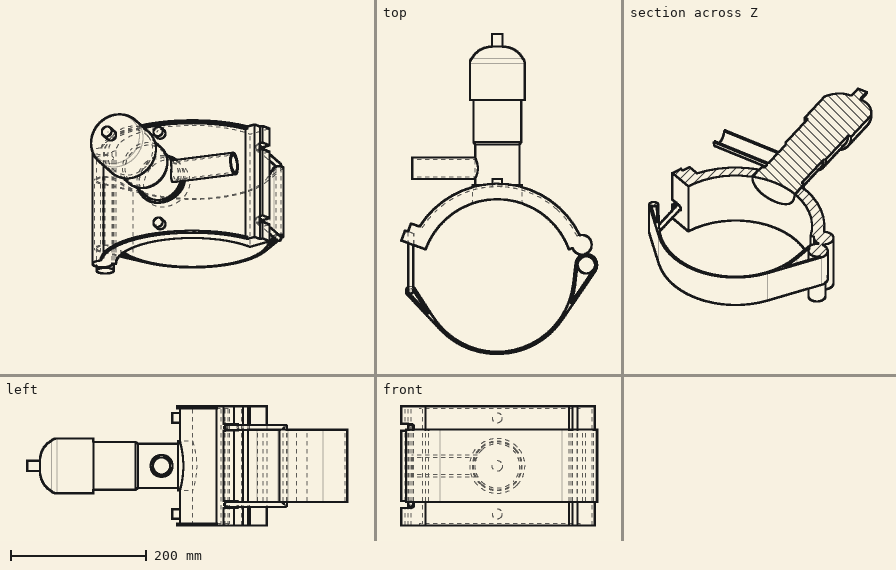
import cadquery as cq
import math


height = 176.0
bore_radius = 112.5
saddle_radius = 135.5
recess_radius = 131.5
lip_height = 3.5
end_angle = 20.0
pad_outer_radius = 150.5
pad_step_radius = 146.0
pad_step_rise = 16.0
pad_rise = 29.0
pad_root_radius = (bore_radius + recess_radius) / 2
knob_radius = 14.5
knob_distance = 132.5
stud_diameter = 14.5
stud_root = (bore_radius + saddle_radius) / 2
stud_top = 142.5
stud_offset = 71.0

strap_thickness = 3.4
strap_outer_radius = bore_radius + strap_thickness
strap_height = 106.8
hinge_pin_radius = 12.8
hinge_centre = (131.5, 15.5)

wire_radius = 4.0
wire_centre = (-127.5, -23.0)
wire_embed = 0.25
wire_z = strap_height / 2 + wire_radius - wire_embed
wire_top = 66.0
notch_radius = 4.95

neck_radius = 65.5 / 2
barrel_radius = 71.0 / 2
flange_radius = 73.0 / 2
cap_radius = 81.2 / 2
tip_radius = 15.5 / 2
flange_top = 133.5
barrel_start = 193.0
barrel_bottom = 197.0
cap_bottom = 259.0
cap_top = 312.5
dome_edge = (38.0, 320.5)
dome_middle = (25.5, 333.0)
dome_top = 337.7
overall_length = 472.5
tip_top = overall_length - strap_outer_radius
shoulder_middle = (39.9, 317.0)

outlet_radius = 32.0 / 2
outlet_bore_radius = 25.5 / 2
outlet_y = 158.2
outlet_end_x = -125.5


def polar(radius, angle):
    return radius * math.cos(math.radians(angle)), radius * math.sin(math.radians(angle))


def upright_prism(outline, prism_height):
    """Extrude a closed XY outline symmetrically about Z = 0."""
    return outline.extrude(prism_height / 2, both=True)


def upright_cylinder(centre, radius, cylinder_height):
    return upright_prism(cq.Workplane("XY").center(*centre).circle(radius), cylinder_height)


def arc_band(inner, outer, start, end, band_height):
    """Part of a ring between two angles, counter-clockwise from start to end."""
    middle = (start + end) / 2
    outline = (
        cq.Workplane("XY")
        .moveTo(*polar(inner, start))
        .lineTo(*polar(outer, start))
        .threePointArc(polar(outer, middle), polar(outer, end))
        .lineTo(*polar(inner, end))
        .threePointArc(polar(inner, middle), polar(inner, start))
        .close()
    )
    return upright_prism(outline, band_height)


def make_notch(z):
    """Round-ended slot around the hook rod, open to the left and running along Y."""
    length = pad_outer_radius
    slot = (
        cq.Workplane("XZ", origin=(wire_centre[0], 0, z))
        .center(-length / 2, 0)
        .rect(length, 2 * notch_radius)
        .extrude(-saddle_radius)
    )
    round_end = cq.Workplane("XZ", origin=(wire_centre[0], 0, z)).circle(notch_radius).extrude(-saddle_radius)
    return slot.union(round_end)


def make_pad():
    """Stepped block on the left end of the saddle, square to its radial end face."""
    corners = [
        (bore_radius, 0),
        (pad_outer_radius, 0),
        (pad_outer_radius, pad_step_rise),
        (pad_step_radius, pad_step_rise),
        (pad_step_radius, pad_rise),
        (pad_root_radius, pad_rise),
    ]
    end_face_plane = cq.Plane(origin=(0, 0, 0), xDir=(*polar(1, 180 - end_angle), 0), normal=(0, 0, -1))
    pad = upright_prism(cq.Workplane(end_face_plane).polyline(corners).close(), height)
    below_ceiling = (
        cq.Workplane(end_face_plane)
        .center(pad_outer_radius, 0)
        .rect(2 * pad_outer_radius, 2 * pad_step_rise)
        .extrude(height, both=True)
    )
    for z in (-wire_z, wire_z):
        pad = pad.cut(make_notch(z).intersect(below_ceiling))
    return pad


def make_saddle():
    saddle = arc_band(bore_radius, saddle_radius, end_angle, 180 - end_angle, height)
    recess = arc_band(recess_radius, pad_outer_radius, 0, 180, height - 2 * lip_height)
    saddle = saddle.cut(recess)
    knob = upright_cylinder(polar(knob_distance, end_angle), knob_radius, height)
    saddle = saddle.union(knob)
    for z in (-stud_offset, stud_offset):
        stud = (
            cq.Workplane("XZ", origin=(0, stud_root, z))
            .circle(stud_diameter / 2)
            .extrude(-(stud_top - stud_root))
        )
        saddle = saddle.union(stud)
    return saddle.union(make_pad())


def strand_normals(loop_centre, loop_radius, side):
    """Angles of the outer and inner tangent strands; side is 1 on the right and -1 on the left."""
    distance = math.hypot(*loop_centre)
    direction = math.degrees(math.atan2(loop_centre[1], loop_centre[0]))
    outer = math.degrees(math.acos((strap_outer_radius - loop_radius) / distance))
    inner = math.degrees(math.acos((bore_radius + loop_radius) / distance))
    return direction - side * outer, direction - side * inner


def make_strand(loop_centre, loop_offset, angle):
    """Straight strip tangent to the strap arc, running to its tangent point on the loop."""
    loop_x, loop_y = polar(loop_offset, angle)
    loop_end = (loop_centre[0] + loop_x, loop_centre[1] + loop_y)
    wall_x, wall_y = polar(strap_thickness, angle)
    outline = cq.Workplane("XY").polyline(
        [
            polar(bore_radius, angle),
            polar(strap_outer_radius, angle),
            (loop_end[0] + wall_x, loop_end[1] + wall_y),
            loop_end,
        ]
    ).close()
    return upright_prism(outline, strap_height)


def make_loop(centre, core_radius, side):
    """Strap end wrapped around a core: two strands and the arc that joins them."""
    loop_radius = core_radius + strap_thickness
    outer_angle, inner_angle = strand_normals(centre, loop_radius, side)
    outer_strand = make_strand(centre, core_radius, outer_angle)
    inner_strand = make_strand(centre, -loop_radius, inner_angle)
    angles = (outer_angle, inner_angle + side * 180)
    wrap = arc_band(core_radius, loop_radius, min(angles), max(angles), strap_height)
    return outer_strand.union(inner_strand).union(wrap.translate((*centre, 0)))


def make_strap():
    left_angle = strand_normals(wire_centre, wire_radius + strap_thickness, -1)[1]
    right_angle = strand_normals(hinge_centre, hinge_pin_radius + strap_thickness, 1)[1]
    strap = arc_band(bore_radius, strap_outer_radius, left_angle, right_angle, strap_height)
    strap = strap.union(make_loop(wire_centre, wire_radius, -1))
    strap = strap.union(make_loop(hinge_centre, hinge_pin_radius, 1))
    return strap.union(upright_cylinder(hinge_centre, hinge_pin_radius, height))


def make_wire_bail():
    """Upright wire inside the strap loop with a rounded corner and a hook rod at each end."""
    bail = upright_cylinder(wire_centre, wire_radius, 2 * wire_z)
    for z in (-wire_z, wire_z):
        rod = (
            cq.Workplane("XZ", origin=(wire_centre[0], wire_centre[1], z))
            .circle(wire_radius)
            .extrude(-(wire_top - wire_centre[1]))
        )
        corner = cq.Workplane("XY").sphere(wire_radius).translate((*wire_centre, z))
        bail = bail.union(rod).union(corner)
    return bail


def make_valve():
    valve = (
        cq.Workplane("XY")
        .lineTo(neck_radius, 0)
        .lineTo(neck_radius, barrel_start)
        .lineTo(barrel_radius, barrel_bottom)
        .lineTo(barrel_radius, cap_bottom)
        .lineTo(cap_radius, cap_bottom)
        .lineTo(cap_radius, cap_top)
        .threePointArc(shoulder_middle, dome_edge)
        .threePointArc(dome_middle, (tip_radius, dome_top))
        .lineTo(tip_radius, tip_top)
        .lineTo(0, tip_top)
        .close()
        .revolve(360, (0, 0), (0, 1))
    )
    flange = cq.Workplane("XZ").circle(flange_radius).extrude(-flange_top)
    valve = valve.union(flange).cut(upright_cylinder((0, 0), bore_radius, height))
    outlet_plane = cq.Plane(origin=(outlet_end_x, outlet_y, 0), xDir=(0, 1, 0), normal=(1, 0, 0))
    outlet = cq.Workplane(outlet_plane).circle(outlet_radius).extrude(-outlet_end_x)
    bore_depth = -outlet_end_x - neck_radius
    outlet_bore = cq.Workplane(outlet_plane).circle(outlet_bore_radius).extrude(bore_depth)
    return valve.union(outlet).cut(outlet_bore)


valve = make_valve()
clamp = make_saddle().union(make_strap()).union(make_wire_bail()).cut(valve)

result = cq.Compound.makeCompound([*clamp.vals(), valve.val()])